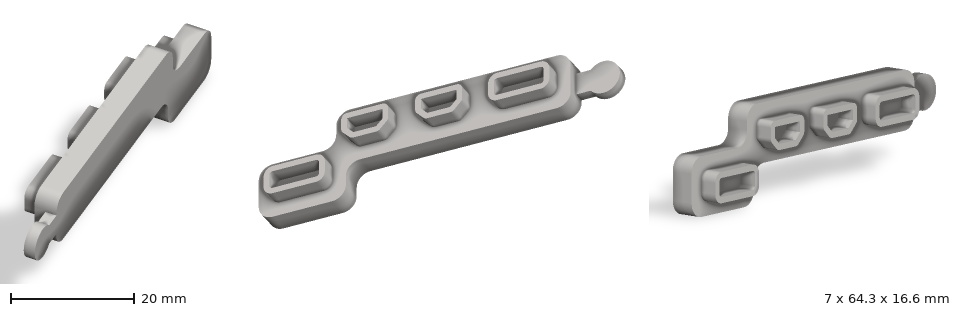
import cadquery as cq

total_height = 16.65
plate_thickness = 4.0
band_height = 10.0
corner_radius = 2.5
y_max = 32.15
lobe_inner_y = 16.4
bar_top_y = 18.1
bar_end_y = -24.25

tab_thickness = 2.0
tab_radius = 3.0
neck_height = 4.0
tab_tip_y = -32.15

plug_height = 3.0
wall = 1.0
wide_socket_length = 9.0
wide_socket_height = 3.15
wide_socket_radius = 0.6
small_socket_length = 6.4
small_socket_height = 2.95
small_socket_chamfer = 1.15
wide_plug_bar_y = -16.3
wide_plug_lobe_y = 24.25
small_plug_ys = (-1.85, 11.5)

bar_bottom_z = total_height - band_height
bar_center_z = total_height - band_height / 2
lobe_center_z = band_height / 2
small_plug_z = bar_center_z - (wide_socket_height - small_socket_height) / 2
tab_center_y = tab_tip_y + tab_radius


def make_plate():
    outline = [
        (y_max, 0),
        (y_max, band_height),
        (bar_top_y, band_height),
        (bar_top_y, total_height),
        (bar_end_y, total_height),
        (bar_end_y, bar_bottom_z),
        (lobe_inner_y, bar_bottom_z),
        (lobe_inner_y, 0),
    ]
    plate = cq.Workplane("YZ").polyline(outline).close().extrude(plate_thickness)
    return plate.edges("|X").fillet(corner_radius)


def make_tab():
    back = cq.Workplane("YZ", origin=(plate_thickness - tab_thickness, 0, 0))
    disc = back.center(tab_center_y, bar_center_z).circle(tab_radius).extrude(tab_thickness)
    neck_length = bar_end_y - tab_center_y
    neck_center_y = (bar_end_y + tab_center_y) / 2
    neck = back.center(neck_center_y, bar_center_z).rect(neck_length, neck_height).extrude(tab_thickness)
    return disc.union(neck)


def wide_socket():
    """Rounded rectangular cavity, centred on the X axis."""
    block = cq.Workplane("YZ").rect(wide_socket_length, wide_socket_height).extrude(-plug_height)
    return block.edges("|X").fillet(wide_socket_radius)


def small_socket():
    """Rectangular cavity with its two lower corners cut off, centred on the X axis."""
    block = cq.Workplane("YZ").rect(small_socket_length, small_socket_height).extrude(-plug_height)
    return block.edges("|X and <Z").chamfer(small_socket_chamfer)


def make_plug(socket):
    """Wall of even thickness, rounded at the corners, around a socket cavity."""
    shell = socket.faces(">X").wires().toPending().offset2D(wall).extrude(-plug_height)
    return shell.cut(socket)


result = make_plate().union(make_tab())

wide_plug = make_plug(wide_socket())
result = result.union(wide_plug.translate((0, wide_plug_bar_y, bar_center_z)))
result = result.union(wide_plug.translate((0, wide_plug_lobe_y, lobe_center_z)))

small_plug = make_plug(small_socket())
for plug_y in small_plug_ys:
    result = result.union(small_plug.translate((0, plug_y, small_plug_z)))